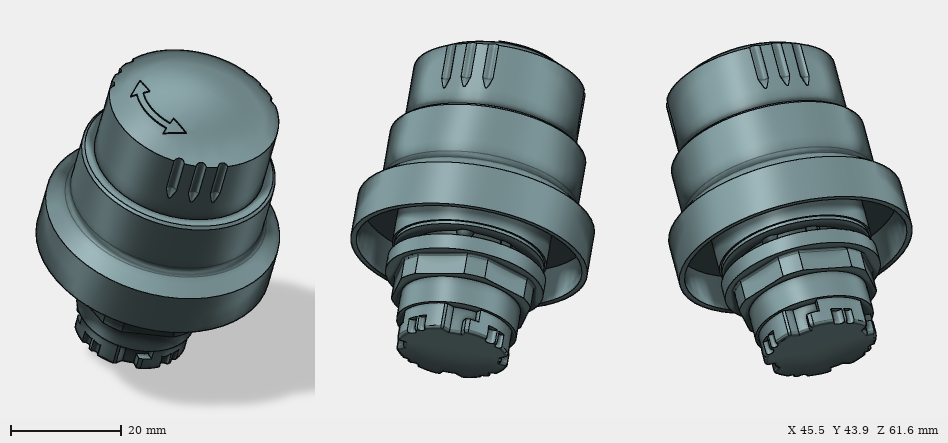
import cadquery as cq
import math


tilt_about_x = 3.32
tilt_about_y = 15.5
clocking = 3.2

cap_radius = 31.5 / 2
cap_rim_height = 35.25
dome_rise = 5.25
dome_radius = (cap_radius**2 + dome_rise**2) / (2 * dome_rise)
dome_centre_height = cap_rim_height + dome_rise - dome_radius

sleeve_radius = 36 / 2
sleeve_mouth_radius = 35 / 2
sleeve_top = 22.35
skirt_radius = 43.5 / 2
skirt_bore_radius = 41.5 / 2
skirt_wall_height = 8.35
skirt_bore_depth = 7.0
cone_angle = 40
cone_rise = (skirt_radius - sleeve_radius) * math.tan(math.radians(cone_angle))
cone_blend_radius = 2.0

flange_radius = 28.3 / 2
flange_bottom = 0.4
flange_lip_radius = 27.65 / 2
flange_lip_bottom = -0.25

body_radius = 22 / 2
body_bottom = -14.6
washer_radius = 29 / 2
washer_top = -2.65
washer_bottom = -5.5
washer_recess_radius = 25.35 / 2
washer_recess_depth = 1.0
nut_flat_to_axis = 12.1
nut_corner_radius = 13.0
nut_bottom = -9.5
nut_blend_radius = 0.4

bayonet_radius = 10.45
bayonet_bottom = -19.65
bayonet_edge_fillet = 0.5
bayonet_count = 4
slot_floor_radius = 9.0
slot_lip_radius = 10.25
slot_shelf_height = -17.0
slot_lead_start = 7.2
slot_lip_start = 9.9
slot_floor_start = 15.7
slot_neck_end = 29.0
slot_lip_end = 31.0
slot_lead_end = 35.3
slot_head_end = 43.3
slot_wall_flare = 1.5
scallops = ((-28.0, 1.05), (-15.0, 0.8))
scallop_top = -16.95

groove_set_count = 3
groove_set_angle = 60
groove_spacing = 15
groove_radius = 1.05
groove_axis_radius = cap_radius + 0.4
groove_straight_bottom = 28.6
groove_point_length = 3.4

arrow_angle = -120
arrow_height = 0.2
arrow_radius = 10.85
arrow_shaft_half_width = 0.55
arrow_head_half_width = 1.65
arrow_shaft_half_angle = 25
arrow_tip_half_angle = 44

rib_count = 2
rib_radius = 22.6 / 2
rib_start = -128.8
rib_end = -118.0
rib_foot = -114.7
stud_count = 4
stud_angle = 15.3
stud_axis_radius = 10.0
stud_top_radius = 1.85
stud_tip_radius = 1.0
stud_bottom = -3.6

clearance = 1.0


def polar(radius, angle):
    a = math.radians(angle)
    return radius * math.cos(a), radius * math.sin(a)


def cylinder(radius, bottom, top):
    return cq.Workplane("XY").workplane(offset=bottom).circle(radius).extrude(top - bottom)


def around_axis(shape, count):
    """Union of copies of a shape spaced evenly around the axis."""
    pattern = shape
    for i in range(1, count):
        pattern = pattern.union(shape.rotate((0, 0, 0), (0, 0, 1), i * 360 / count))
    return pattern


def dome_ball(radius):
    return cq.Workplane("XY").sphere(radius).translate((0, 0, dome_centre_height))


def make_cap():
    apex = cap_rim_height + dome_rise
    return cylinder(cap_radius, sleeve_top - clearance, apex).intersect(dome_ball(dome_radius))


def make_grip_grooves():
    point_bottom = groove_straight_bottom - groove_point_length
    groove = (
        cq.Workplane("XZ")
        .moveTo(0, point_bottom)
        .lineTo(groove_radius, groove_straight_bottom)
        .lineTo(groove_radius, cap_rim_height + dome_rise)
        .lineTo(0, cap_rim_height + dome_rise)
        .close()
        .revolve(360, (0, 0, 0), (0, 1, 0))
        .translate((groove_axis_radius, 0, 0))
    )
    groove_set = groove
    for side in (-1, 1):
        groove_set = groove_set.union(groove.rotate((0, 0, 0), (0, 0, 1), side * groove_spacing))
    groove_set = groove_set.rotate((0, 0, 0), (0, 0, 1), groove_set_angle)
    return around_axis(groove_set, groove_set_count)


def make_arrow():
    shaft_outer = arrow_radius + arrow_shaft_half_width
    shaft_inner = arrow_radius - arrow_shaft_half_width
    head_outer = arrow_radius + arrow_head_half_width
    head_inner = arrow_radius - arrow_head_half_width
    shaft = arrow_shaft_half_angle
    tip = arrow_tip_half_angle
    outline = (
        cq.Workplane("XY")
        .workplane(offset=cap_rim_height)
        .moveTo(*polar(shaft_outer, -shaft))
        .threePointArc(polar(shaft_outer, 0), polar(shaft_outer, shaft))
        .lineTo(*polar(head_outer, shaft))
        .lineTo(*polar(arrow_radius, tip))
        .lineTo(*polar(head_inner, shaft))
        .lineTo(*polar(shaft_inner, shaft))
        .threePointArc(polar(shaft_inner, 0), polar(shaft_inner, -shaft))
        .lineTo(*polar(head_inner, -shaft))
        .lineTo(*polar(arrow_radius, -tip))
        .lineTo(*polar(head_outer, -shaft))
        .close()
        .extrude(dome_rise)
    )
    arrow = outline.intersect(dome_ball(dome_radius + arrow_height))
    return arrow.rotate((0, 0, 0), (0, 0, 1), arrow_angle)


def make_sleeve_and_skirt():
    cone_top = skirt_wall_height + cone_rise
    blend_tangent = cone_blend_radius * math.tan(math.radians((90 - cone_angle) / 2))
    blend_end_out = blend_tangent * math.cos(math.radians(cone_angle))
    blend_end_down = blend_tangent * math.sin(math.radians(cone_angle))
    blend_start = (sleeve_radius, cone_top + blend_tangent)
    blend_end = (sleeve_radius + blend_end_out, cone_top - blend_end_down)
    half_turn = math.radians((90 - cone_angle) / 2)
    blend_middle = (
        sleeve_radius + cone_blend_radius * (1 - math.cos(half_turn)),
        cone_top + blend_tangent - cone_blend_radius * math.sin(half_turn),
    )
    mouth_chamfer = sleeve_radius - sleeve_mouth_radius
    return (
        cq.Workplane("XZ")
        .moveTo(0, sleeve_top)
        .lineTo(sleeve_mouth_radius, sleeve_top)
        .lineTo(sleeve_radius, sleeve_top - mouth_chamfer)
        .lineTo(*blend_start)
        .threePointArc(blend_middle, blend_end)
        .lineTo(skirt_radius, skirt_wall_height)
        .lineTo(skirt_radius, 0)
        .lineTo(skirt_bore_radius, 0)
        .lineTo(skirt_bore_radius, skirt_bore_depth)
        .lineTo(0, skirt_bore_depth)
        .close()
        .revolve(360, (0, 0, 0), (0, 1, 0))
    )


def make_flange():
    flange = cylinder(flange_radius, flange_bottom, skirt_bore_depth)
    return flange.union(cylinder(flange_lip_radius, flange_lip_bottom, flange_bottom))


def make_neck_ribs():
    rib = (
        cq.Workplane("XY")
        .workplane(offset=washer_top - washer_recess_depth)
        .moveTo(0, 0)
        .lineTo(*polar(rib_radius, rib_start))
        .threePointArc(polar(rib_radius, (rib_start + rib_end) / 2), polar(rib_radius, rib_end))
        .lineTo(*polar(body_radius, rib_foot))
        .close()
        .extrude(flange_lip_bottom - washer_top + washer_recess_depth)
    )
    return around_axis(rib, rib_count)


def make_neck_studs():
    stud = (
        cq.Workplane("XZ")
        .moveTo(0, stud_bottom)
        .lineTo(stud_tip_radius, stud_bottom)
        .lineTo(stud_top_radius, flange_lip_bottom)
        .lineTo(0, flange_lip_bottom)
        .close()
        .revolve(360, (0, 0, 0), (0, 1, 0))
        .translate((*polar(stud_axis_radius, stud_angle), 0))
    )
    return around_axis(stud, stud_count)


def make_washer_and_nut():
    nut_height = washer_bottom - nut_bottom
    hexagon = (
        cq.Workplane("XY")
        .workplane(offset=nut_bottom)
        .polygon(6, 2 * nut_flat_to_axis, circumscribed=True)
        .extrude(nut_height)
    )
    nut = hexagon.intersect(cylinder(nut_corner_radius, nut_bottom, washer_bottom))
    washer = cylinder(washer_radius, washer_bottom, washer_top)
    joined = washer.union(nut)
    inside_washer_rim = cq.selectors.BoxSelector(
        (-nut_corner_radius, -nut_corner_radius, washer_bottom - nut_blend_radius),
        (nut_corner_radius, nut_corner_radius, washer_bottom + nut_blend_radius),
        boundingbox=True,
    )
    joined = joined.edges(inside_washer_rim).fillet(nut_blend_radius)
    recess = cylinder(washer_recess_radius, washer_top - washer_recess_depth, washer_top)
    return joined.cut(recess)


def make_bayonet_slots():
    outside = bayonet_radius + clearance
    entry = (
        cq.Workplane("XY")
        .workplane(offset=bayonet_bottom)
        .moveTo(*polar(bayonet_radius, slot_lead_start))
        .lineTo(*polar(slot_lip_radius, slot_lip_start))
        .lineTo(*polar(slot_floor_radius, slot_floor_start))
        .threePointArc(
            polar(slot_floor_radius, (slot_floor_start + slot_neck_end) / 2),
            polar(slot_floor_radius, slot_neck_end),
        )
        .lineTo(*polar(slot_lip_radius, slot_lip_end))
        .lineTo(*polar(bayonet_radius, slot_lead_end))
        .lineTo(*polar(outside, slot_lead_end))
        .lineTo(*polar(outside, slot_lead_start))
        .close()
        .extrude(body_bottom - bayonet_bottom)
    )
    head = (
        cq.Workplane("XY")
        .workplane(offset=slot_shelf_height)
        .moveTo(*polar(slot_floor_radius, slot_floor_start))
        .threePointArc(
            polar(slot_floor_radius, (slot_floor_start + slot_head_end) / 2),
            polar(slot_floor_radius, slot_head_end),
        )
        .lineTo(*polar(outside, slot_head_end + slot_wall_flare))
        .lineTo(*polar(outside, slot_floor_start))
        .close()
        .extrude(body_bottom - slot_shelf_height)
    )
    return around_axis(entry.union(head), bayonet_count)


def make_scallops():
    pair = cq.Workplane("XY").workplane(offset=bayonet_bottom)
    for angle, radius in scallops:
        pair = pair.moveTo(*polar(bayonet_radius, angle)).circle(radius)
    return around_axis(pair.extrude(scallop_top - bayonet_bottom), bayonet_count)


def make_bayonet_end():
    end = cylinder(bayonet_radius, bayonet_bottom, body_bottom)
    end = end.cut(make_bayonet_slots())
    end = end.faces("<Z").edges().fillet(bayonet_edge_fillet)
    return end.cut(make_scallops())


def make_knob():
    upper = make_cap().cut(make_grip_grooves()).union(make_arrow())
    upper = upper.union(make_sleeve_and_skirt()).union(make_flange())
    neck = cylinder(body_radius, body_bottom, flange_bottom)
    neck = neck.union(make_neck_ribs()).union(make_neck_studs())
    lower = neck.union(make_washer_and_nut()).union(make_bayonet_end())
    return upper.union(lower)


result = (
    make_knob()
    .rotate((0, 0, 0), (0, 0, 1), clocking)
    .rotate((0, 0, 0), (1, 0, 0), tilt_about_x)
    .rotate((0, 0, 0), (0, 1, 0), tilt_about_y)
)